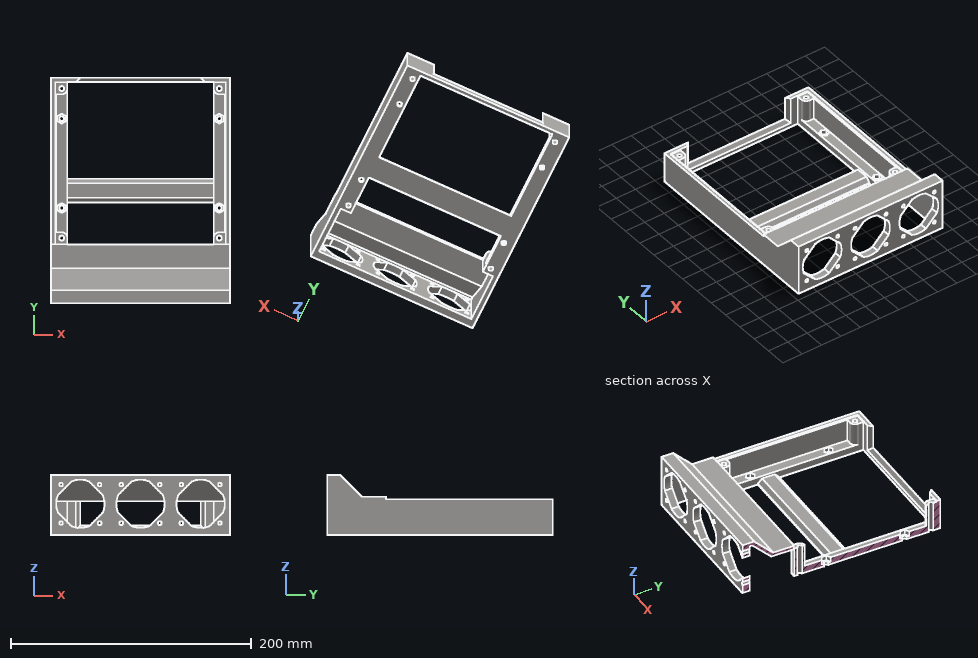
import cadquery as cq
import math

WIDTH = 149.0
LENGTH = 187.6
FRONT_HEIGHT = 50.0
DECK_HEIGHT = 32.0
WALL_HEIGHT = 30.0

FRONT_WALL = 7.0
HOOD_TOP_LENGTH = 11.0
DECK_END = 49.0
HOOD_THICKNESS = 4.0
SLOPE_END = HOOD_TOP_LENGTH + FRONT_HEIGHT - DECK_HEIGHT

RIM = 3.7
SIDE_WALL = 4.5
BACK_WALL = RIM
LID_SEAT = 29.0

RAIL_HEIGHT = 7.6
SCREW_DIAMETER = 3.9
POST_OFFSET = 5.3
POST_RADIUS = 4.8
SCREW_INSET = RIM + POST_OFFSET
RAIL_EDGE = SCREW_INSET + POST_RADIUS
POST_FRONT_Y = DECK_END + POST_OFFSET
POST_BACK_Y = LENGTH - BACK_WALL - POST_OFFSET
RAIL_SCREW_OFFSET = 25.0
NUT_CORNER_DIAMETER = 8.2
NUT_POCKET_DEPTH = 4.6

BAR_CENTER_Y = 93.8
BAR_BASE = 20.0
BAR_CHAMFER = 4.0
BAR_FOOT = 1.0

OPENING_INSET = 24.5
SILL_HEIGHT = 8.0

FAN_PITCH = 50.0
FAN_CENTER_Z = 26.0
FAN_BORE_RADIUS = 20.0
FAN_FLAT_DISTANCE = 18.3
FAN_SCREW_SPACING = 32.0
FAN_SCREW_DIAMETER = 3.0

CENTER_X = WIDTH / 2
LEFT, RIGHT = -1, 1


def side_profile(points, x_start, x_end):
    """Extrude an outline of (y, z) points along X."""
    return cq.Workplane("YZ").polyline(points).close().extrude(x_end - x_start).translate((x_start, 0, 0))


def box(x0, x1, y0, y1, z0, z1):
    return cq.Workplane("XY").box(x1 - x0, y1 - y0, z1 - z0, centered=False).translate((x0, y0, z0))


def cylinder(x, y, z0, z1, radius):
    return cq.Workplane("XY").center(x, y).circle(radius).extrude(z1 - z0).translate((0, 0, z0))


def make_shell():
    outer = side_profile(
        [
            (0, 0),
            (LENGTH, 0),
            (LENGTH, WALL_HEIGHT),
            (DECK_END, WALL_HEIGHT),
            (DECK_END, DECK_HEIGHT),
            (SLOPE_END, DECK_HEIGHT),
            (HOOD_TOP_LENGTH, FRONT_HEIGHT),
            (0, FRONT_HEIGHT),
        ],
        0,
        WIDTH,
    )
    deck_underside = DECK_HEIGHT - HOOD_THICKNESS
    ceiling = FRONT_HEIGHT - HOOD_THICKNESS
    slope_shift = HOOD_THICKNESS * math.tan(math.pi / 8)
    hood_cavity = side_profile(
        [
            (FRONT_WALL, 0),
            (DECK_END, 0),
            (DECK_END, deck_underside),
            (SLOPE_END - slope_shift, deck_underside),
            (HOOD_TOP_LENGTH - slope_shift, ceiling),
            (FRONT_WALL, ceiling),
        ],
        SIDE_WALL,
        WIDTH - SIDE_WALL,
    )
    tray = box(SIDE_WALL, WIDTH - SIDE_WALL, DECK_END, LENGTH - BACK_WALL, 0, WALL_HEIGHT)
    lid_recess = box(RIM, WIDTH - RIM, DECK_END, LENGTH - RIM, LID_SEAT, WALL_HEIGHT)
    return outer.cut(hood_cavity).cut(tray).cut(lid_recess)


def make_nut_pocket(y):
    """Hexagonal pocket in a rail top with two corners pointing along Y."""
    hexagon = cq.Workplane("XY").polygon(6, NUT_CORNER_DIAMETER).extrude(NUT_POCKET_DEPTH)
    hexagon = hexagon.rotate((0, 0, 0), (0, 0, 1), 90)
    return hexagon.translate((SCREW_INSET, y, RAIL_HEIGHT - NUT_POCKET_DEPTH))


def make_post(y, wall_y):
    """Lid post with one rounded corner, filled out to the side wall and to the cross wall at wall_y."""
    away = math.copysign(POST_RADIUS, y - wall_y)
    y_near, y_far = sorted((wall_y, y + away))
    against_side = box(SIDE_WALL, SCREW_INSET, y_near, y_far, 0, LID_SEAT)
    y_near, y_far = sorted((wall_y, y))
    against_end = box(SIDE_WALL, RAIL_EDGE, y_near, y_far, 0, LID_SEAT)
    post = cylinder(SCREW_INSET, y, 0, LID_SEAT, POST_RADIUS)
    return post.union(against_side).union(against_end)


def make_rail(side):
    rail = box(SIDE_WALL, RAIL_EDGE, DECK_END, LENGTH - BACK_WALL, 0, RAIL_HEIGHT)
    for y, wall_y in ((POST_FRONT_Y, DECK_END), (POST_BACK_Y, LENGTH - BACK_WALL)):
        rail = rail.union(make_post(y, wall_y))
        rail = rail.cut(cylinder(SCREW_INSET, y, 0, LID_SEAT, SCREW_DIAMETER / 2))
    for y in (POST_FRONT_Y + RAIL_SCREW_OFFSET, POST_BACK_Y - RAIL_SCREW_OFFSET):
        rail = rail.cut(cylinder(SCREW_INSET, y, 0, RAIL_HEIGHT, SCREW_DIAMETER / 2))
        rail = rail.cut(make_nut_pocket(y))
    if side == RIGHT:
        rail = rail.mirror("YZ", (CENTER_X, 0, 0))
    return rail


def make_cross_bar():
    half = BAR_BASE / 2
    return side_profile(
        [
            (BAR_CENTER_Y - half, 0),
            (BAR_CENTER_Y + half, 0),
            (BAR_CENTER_Y + half, BAR_FOOT),
            (BAR_CENTER_Y + half - BAR_CHAMFER, BAR_FOOT + BAR_CHAMFER),
            (BAR_CENTER_Y - half + BAR_CHAMFER, BAR_FOOT + BAR_CHAMFER),
            (BAR_CENTER_Y - half, BAR_FOOT),
        ],
        RAIL_EDGE,
        WIDTH - RAIL_EDGE,
    )


def make_back_opening():
    """Opening with 45 degree edges that widens toward the inside."""

    def outline(y, spread):
        left = OPENING_INSET - spread
        sill = SILL_HEIGHT - spread
        return (
            cq.Workplane("XZ", origin=(0, y, 0))
            .moveTo(left, sill)
            .lineTo(WIDTH - left, sill)
            .lineTo(WIDTH - left, WALL_HEIGHT)
            .lineTo(left, WALL_HEIGHT)
            .close()
            .wires()
            .val()
        )

    return cq.Workplane(cq.Solid.makeLoft([outline(LENGTH, 0), outline(LENGTH - BACK_WALL, BACK_WALL)], True))


def make_fan_cut(x):
    bore = cq.Workplane("XZ").circle(FAN_BORE_RADIUS).extrude(-FRONT_WALL)
    flats = cq.Workplane("XZ").rect(2 * FAN_FLAT_DISTANCE, 2 * FAN_FLAT_DISTANCE).extrude(-FRONT_WALL)
    bore = bore.intersect(flats.rotate((0, 0, 0), (0, 1, 0), 45))
    screws = (
        cq.Workplane("XZ")
        .rect(FAN_SCREW_SPACING, FAN_SCREW_SPACING, forConstruction=True)
        .vertices()
        .circle(FAN_SCREW_DIAMETER / 2)
        .extrude(-FRONT_WALL)
    )
    return bore.union(screws).translate((x, 0, FAN_CENTER_Z))


result = make_shell().union(make_cross_bar())
for side in (LEFT, RIGHT):
    result = result.union(make_rail(side))
result = result.cut(make_back_opening())
for step in (-1, 0, 1):
    result = result.cut(make_fan_cut(CENTER_X + step * FAN_PITCH))